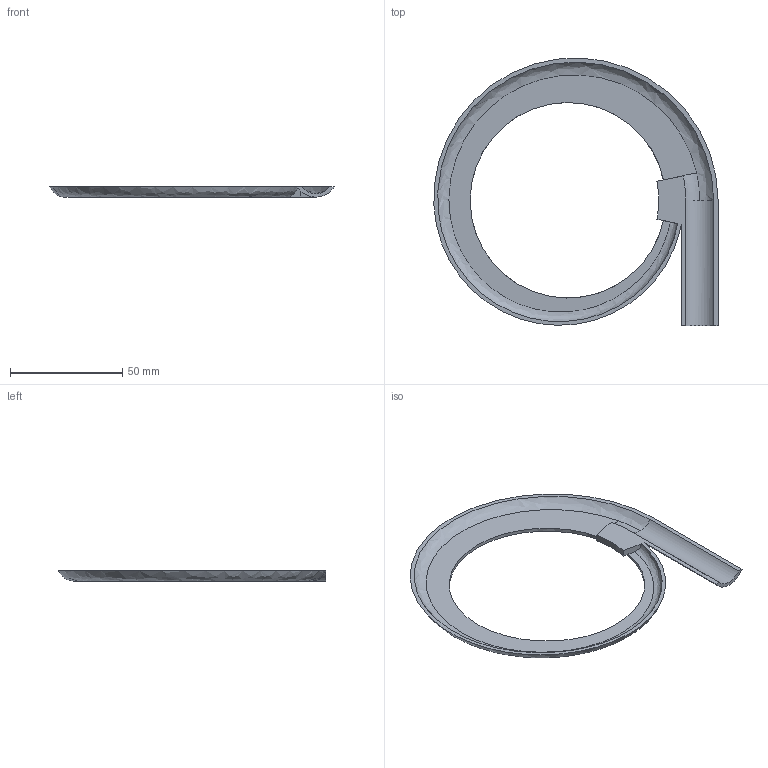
import cadquery as cq
import math


wall = 1.6
depth = 4.6
bore_depth = depth - wall

hole_radius = 87.2 / 2

outlet_outer_radius = 9.6
end_outer_radius = 4.8

outlet_line_radius = 58.8
half_turn_line_radius = 53.12
end_line_radius = 46.7

outlet_length = 56.02

tongue_overhang = 3.0
tongue_inner_radius = hole_radius - tongue_overhang
tongue_half_angle = 12.0

tongue_bore_sections = 4

section_step = 15
full_turn = 360

hole_allowance = 1.0

joint_tolerance = 0.001


def trough_outer_radius(angle):
    """Outer arc radius of the trough, shrinking steadily around the spiral."""
    return outlet_outer_radius + (end_outer_radius - outlet_outer_radius) * angle / full_turn


def line_radius(angle):
    """Distance from the Z axis to a spiral made of two tangent semicircles."""
    if angle <= full_turn / 2:
        right_reach = outlet_line_radius
    else:
        right_reach = end_line_radius
    arc_centre = (right_reach - half_turn_line_radius) / 2
    arc_radius = (right_reach + half_turn_line_radius) / 2
    turn = math.radians(angle)
    across = arc_centre * math.sin(turn)
    return arc_centre * math.cos(turn) + math.sqrt(arc_radius**2 - across**2)


def arc_offset(radius, sag, fraction=1.0):
    """Run and height at a fraction of a circular arc that rises by sag to Z = 0."""
    sweep = fraction * math.acos((radius - sag) / radius)
    return radius * math.sin(sweep), radius * (1 - math.cos(sweep)) - sag


def radial_plane(angle):
    """Plane through the Z axis whose local x points outward and local y points up."""
    turn = math.radians(angle)
    outward = (math.cos(turn), math.sin(turn), 0)
    normal = (math.sin(turn), -math.cos(turn), 0)
    return cq.Plane(origin=(0, 0, 0), xDir=outward, normal=normal)


def spiral_wall_section(angle):
    """Floor and outer wall of the spiral, cut along a radius."""
    start = hole_radius - hole_allowance
    line = line_radius(angle)
    outer = trough_outer_radius(angle)
    inner = outer - wall
    outer_run, outer_top = arc_offset(outer, depth)
    outer_mid_run, outer_mid = arc_offset(outer, depth, 0.5)
    inner_run, inner_top = arc_offset(inner, bore_depth)
    inner_mid_run, inner_mid = arc_offset(inner, bore_depth, 0.5)
    section = (
        cq.Workplane(radial_plane(angle))
        .moveTo(start, -depth)
        .lineTo(line, -depth)
        .threePointArc((line + outer_mid_run, outer_mid), (line + outer_run, outer_top))
        .lineTo(line + inner_run, inner_top)
        .threePointArc((line + inner_mid_run, inner_mid), (line, -bore_depth))
        .lineTo(start, -bore_depth)
        .close()
    )
    return section.val()


def arc_trough_section(plane, line, radius, sag):
    """Circular segment hanging below Z = 0, centred at the given distance along local x."""
    run, top = arc_offset(radius, sag)
    return (
        cq.Workplane(plane)
        .moveTo(line - run, top)
        .threePointArc((line, -sag), (line + run, top))
        .close()
    )


def make_spiral():
    """Floor and outer wall lofted once around the Z axis."""
    angles = range(0, full_turn + 1, section_step)
    return cq.Workplane(cq.Solid.makeLoft([spiral_wall_section(angle) for angle in angles]))


def make_outlet(radius, sag, length):
    """Straight segment bar running from the X axis toward -Y."""
    section = arc_trough_section(radial_plane(0), outlet_line_radius, radius, sag)
    return section.extrude(length)


def polar(radius, angle):
    """Point in the XY plane at a radius and an angle in degrees."""
    turn = math.radians(angle)
    return radius * math.cos(turn), radius * math.sin(turn)


def make_tongue():
    """Full-depth block between the hole and the lowest line of the trough."""
    outlet_run, _ = arc_offset(outlet_outer_radius, depth)
    lower_corner_x = outlet_line_radius - outlet_run + wall
    lower_corner_radius = lower_corner_x / math.cos(math.radians(tongue_half_angle))
    upper_corner_radius = line_radius(tongue_half_angle)
    edge_middle_angle = tongue_half_angle / 2
    edge_middle = polar(line_radius(edge_middle_angle), edge_middle_angle)
    return (
        cq.Workplane("XY")
        .moveTo(*polar(tongue_inner_radius, -tongue_half_angle))
        .threePointArc((tongue_inner_radius, 0), polar(tongue_inner_radius, tongue_half_angle))
        .lineTo(*polar(upper_corner_radius, tongue_half_angle))
        .threePointArc(edge_middle, (outlet_line_radius, 0))
        .lineTo(*polar(lower_corner_radius, -tongue_half_angle))
        .close()
        .extrude(-depth)
    )


def make_curved_bore():
    """Bore of the trough where it runs past the tongue."""
    sections = []
    for step in range(tongue_bore_sections):
        angle = step * tongue_half_angle / 2
        inner = trough_outer_radius(angle) - wall
        section = arc_trough_section(radial_plane(angle), line_radius(angle), inner, bore_depth)
        sections.append(section.val())
    return cq.Workplane(cq.Solid.makeLoft(sections))


hole = cq.Workplane("XY", origin=(0, 0, -depth)).circle(hole_radius).extrude(wall)
outlet_bore = make_outlet(outlet_outer_radius - wall, bore_depth, outlet_length)
outlet = make_outlet(outlet_outer_radius, depth, outlet_length).cut(outlet_bore)
tongue = make_tongue().cut(outlet_bore).cut(make_curved_bore())

result = make_spiral().union(outlet, tol=joint_tolerance).union(tongue, tol=joint_tolerance).cut(hole)